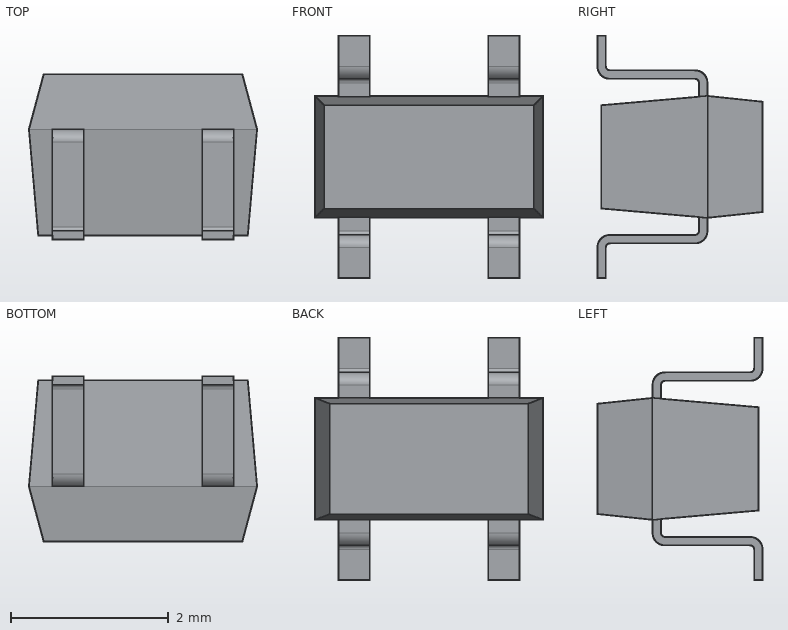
import cadquery as cq
import math

BODY_LENGTH = 2.9
BODY_HEIGHT = 1.55
BODY_DEPTH = 2.05
PARTING_Y = 1.35
BOARD_SIDE_DRAFT = 5.0
BACK_END_DRAFT = 15.0
BACK_LEAD_DRAFT = 6.0

LEAD_WIDTH = 0.4
LEAD_THICKNESS = 0.11
LEAD_PITCH = 1.9
LEAD_SPAN = 3.08
LEAD_STANDOFF = 0.05
LEG_OUTER_Z = 1.1
LEAD_EMBED = 0.2
INNER_BEND_RADIUS = 0.05
OUTER_BEND_RADIUS = INNER_BEND_RADIUS + LEAD_THICKNESS


def tapered_half(end_y, end_draft, lead_draft):
    """Body half from the parting plane to end_y, narrowing by the draft angles."""
    depth = abs(end_y - PARTING_Y)
    end_length = BODY_LENGTH - 2 * depth * math.tan(math.radians(end_draft))
    end_height = BODY_HEIGHT - 2 * depth * math.tan(math.radians(lead_draft))
    return (
        cq.Workplane("XZ", origin=(0, PARTING_Y, 0))
        .rect(BODY_LENGTH, BODY_HEIGHT)
        .workplane(offset=PARTING_Y - end_y)
        .rect(end_length, end_height)
        .loft(ruled=True)
    )


def make_body():
    board_half = tapered_half(0, BOARD_SIDE_DRAFT, BOARD_SIDE_DRAFT)
    back_half = tapered_half(BODY_DEPTH, BACK_END_DRAFT, BACK_LEAD_DRAFT)
    return board_half.union(back_half)


def make_lead(x_center):
    """One lead on the +Z side: a stub, a leg along Y and a foot."""
    root_z = BODY_HEIGHT / 2 - LEAD_EMBED
    toe_z = LEAD_SPAN / 2
    leg_inner_z = LEG_OUTER_Z - LEAD_THICKNESS
    stub_inner_y = PARTING_Y - LEAD_THICKNESS
    foot_bottom_y = -LEAD_STANDOFF
    foot_top_y = foot_bottom_y + LEAD_THICKNESS

    shoulder_y = PARTING_Y - OUTER_BEND_RADIUS
    shoulder_z = LEG_OUTER_Z - OUTER_BEND_RADIUS
    ankle_y = foot_bottom_y + OUTER_BEND_RADIUS
    ankle_z = leg_inner_z + OUTER_BEND_RADIUS
    outer_mid = OUTER_BEND_RADIUS * math.sqrt(0.5)
    inner_mid = INNER_BEND_RADIUS * math.sqrt(0.5)

    return (
        cq.Workplane("YZ", origin=(x_center, 0, 0))
        .moveTo(PARTING_Y, root_z)
        .lineTo(PARTING_Y, shoulder_z)
        .threePointArc((shoulder_y + outer_mid, shoulder_z + outer_mid), (shoulder_y, LEG_OUTER_Z))
        .lineTo(ankle_y, LEG_OUTER_Z)
        .threePointArc((ankle_y - inner_mid, ankle_z - inner_mid), (foot_top_y, ankle_z))
        .lineTo(foot_top_y, toe_z)
        .lineTo(foot_bottom_y, toe_z)
        .lineTo(foot_bottom_y, ankle_z)
        .threePointArc((ankle_y - outer_mid, ankle_z - outer_mid), (ankle_y, leg_inner_z))
        .lineTo(shoulder_y, leg_inner_z)
        .threePointArc((shoulder_y + inner_mid, shoulder_z + inner_mid), (stub_inner_y, shoulder_z))
        .lineTo(stub_inner_y, root_z)
        .close()
        .extrude(LEAD_WIDTH / 2, both=True)
    )


result = make_body()
for x_center in (-LEAD_PITCH / 2, LEAD_PITCH / 2):
    lead = make_lead(x_center)
    result = result.union(lead).union(lead.mirror("XY"))